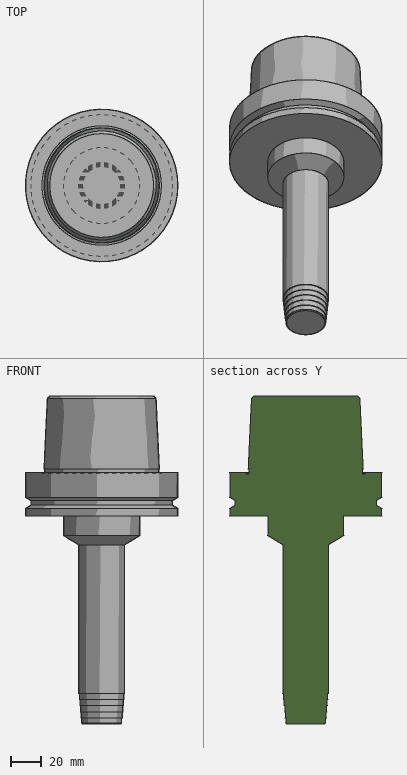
import cadquery as cq

total_height = 215.0
flange_top = 164.8
flange_bottom = 136.2
collar_bottom = 123.4
shank_top = 117.3
tip_height = 20.2

taper_top_radius = 35.7
taper_base_radius = 37.8
taper_chamfer = 1.7
neck_height = 2.1
neck_radius = 37.5
face_groove_radius = 39.1
face_groove_depth = 0.9

flange_diameter = 100.0
flange_radius = flange_diameter / 2
groove_radius = 46.5
groove_top = 148.5
groove_bottom = 141.2
groove_side_height = 2.1

collar_radius = 25.0
shank_radius = 15.0

tip_top_radius = 14.6
tip_end_radius = 13.1
tip_bands = 5
tip_chamfer = 0.6

band_height = tip_height / tip_bands
radius_step = (tip_top_radius - tip_end_radius) / (tip_bands - 1)
tip_profile = [(tip_end_radius - tip_chamfer, 0), (tip_end_radius, tip_chamfer)]
for band in range(tip_bands):
    radius = tip_end_radius + band * radius_step
    if band > 0:
        tip_profile.append((radius, band * band_height))
    tip_profile.append((radius, (band + 1) * band_height))

shank_profile = [
    (shank_radius, tip_height),
    (shank_radius, shank_top),
    (collar_radius, collar_bottom),
    (collar_radius, flange_bottom),
]

flange_profile = [
    (flange_radius, flange_bottom),
    (flange_radius, groove_bottom),
    (groove_radius, groove_bottom + groove_side_height),
    (groove_radius, groove_top - groove_side_height),
    (flange_radius, groove_top),
    (flange_radius, flange_top),
]

taper_profile = [
    (face_groove_radius, flange_top),
    (face_groove_radius, flange_top - face_groove_depth),
    (neck_radius, flange_top - face_groove_depth),
    (neck_radius, flange_top + neck_height),
    (taper_base_radius, flange_top + neck_height),
    (taper_top_radius, total_height - taper_chamfer),
    (taper_top_radius - taper_chamfer, total_height),
]

half_section = (
    [(0, 0)]
    + tip_profile
    + shank_profile
    + flange_profile
    + taper_profile
    + [(0, total_height)]
)

result = cq.Workplane("XZ").polyline(half_section).close().revolve(360, (0, 0), (0, 1))